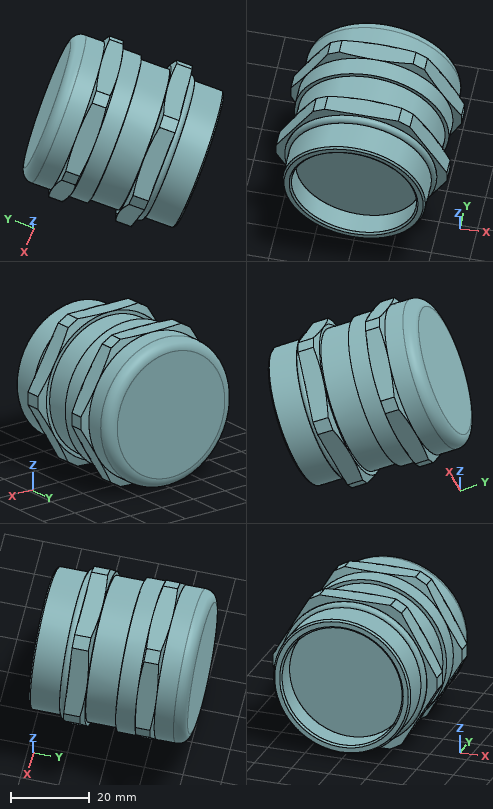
import cadquery as cq
import math


seal_centre = 9.25
body_hex_start = 10.0
body_hex_end = 15.0
neck_end = 23.0
nut_hex_start = 28.0
nut_hex_end = 33.0
total_length = 41.0

across_flats = 40.0
across_truncated_corners = 44.2
nut_diameter = across_flats
neck_diameter = 38.0
thread_diameter = 37.0
bore_diameter = 32.35

thread_chamfer = 0.5
bore_depth = 6.0
bore_chamfer = 0.5
dome_radius = 3.0
body_hex_chamfer_angle = 20.0
nut_hex_chamfer_angle = 16.0
seal_section_radius = 1.15


def cylinder(diameter, start, end):
    """Solid round bar along the axis between two stations."""
    plane = cq.Workplane("XZ", origin=(0, start, 0))
    return plane.circle(diameter / 2).extrude(start - end)


def hexagonal_prism(width_across_flats, start, end):
    """Hexagonal prism along the axis with two of its corners on the X axis."""
    corner_diameter = width_across_flats / math.cos(math.pi / 6)
    plane = cq.Workplane("XZ", origin=(0, start, 0))
    return plane.polygon(6, corner_diameter).extrude(start - end)


def hexagon(start, end):
    """Hexagonal collar with its six corners cut flat."""
    corner_flats = hexagonal_prism(across_truncated_corners, start, end)
    corner_flats = corner_flats.rotate((0, 0, 0), (0, 1, 0), 30)
    return hexagonal_prism(across_flats, start, end).intersect(corner_flats)


def chamfer_cone(face, direction, angle):
    """Cone, opening from a hexagon face along direction, that bevels the corners of that face."""
    face_radius = across_flats / 2
    flare = across_flats / 2
    rise = flare * math.tan(math.radians(angle))
    return (
        cq.Workplane("XY")
        .moveTo(0, face)
        .lineTo(face_radius, face)
        .lineTo(face_radius + flare, face + direction * rise)
        .lineTo(0, face + direction * rise)
        .close()
        .revolve(360, (0, 0, 0), (0, 1, 0))
    )


def threaded_body():
    """Threaded spigot, wrench hexagon and neck."""
    spigot = cylinder(thread_diameter, 0, body_hex_start).faces("<Y").chamfer(thread_chamfer)
    collar = hexagon(body_hex_start, body_hex_end)
    collar = collar.intersect(chamfer_cone(body_hex_end, -1, body_hex_chamfer_angle))
    neck = cylinder(neck_diameter, body_hex_end, neck_end)
    return spigot.union(collar).union(neck)


def seal_ring():
    """Sealing ring: a half-round bead on the spigot, pressed into the wrench hexagon."""
    spigot_radius = thread_diameter / 2
    root_radius = spigot_radius - seal_section_radius
    near_side = seal_centre - seal_section_radius
    far_side = seal_centre + seal_section_radius
    return (
        cq.Workplane("XY")
        .moveTo(spigot_radius, near_side)
        .threePointArc((spigot_radius + seal_section_radius, seal_centre), (spigot_radius, far_side))
        .lineTo(root_radius, far_side)
        .lineTo(root_radius, near_side)
        .close()
        .revolve(360, (0, 0, 0), (0, 1, 0))
    )


def dome_nut():
    """Closed compression nut with a rounded end and a hexagon bevelled on both faces."""
    barrel = cylinder(nut_diameter, neck_end, total_length).faces(">Y").edges().fillet(dome_radius)
    collar = hexagon(nut_hex_start, nut_hex_end)
    collar = collar.intersect(chamfer_cone(nut_hex_end, -1, nut_hex_chamfer_angle))
    collar = collar.intersect(chamfer_cone(nut_hex_start, 1, nut_hex_chamfer_angle))
    return barrel.union(collar)


def bore():
    """Blind bore of the threaded end, widened by a chamfer at its mouth."""
    bore_radius = bore_diameter / 2
    return (
        cq.Workplane("XY")
        .lineTo(bore_radius + bore_chamfer, 0)
        .lineTo(bore_radius, bore_chamfer)
        .lineTo(bore_radius, bore_depth)
        .lineTo(0, bore_depth)
        .close()
        .revolve(360, (0, 0, 0), (0, 1, 0))
    )


result = threaded_body().union(seal_ring()).union(dome_nut()).cut(bore())